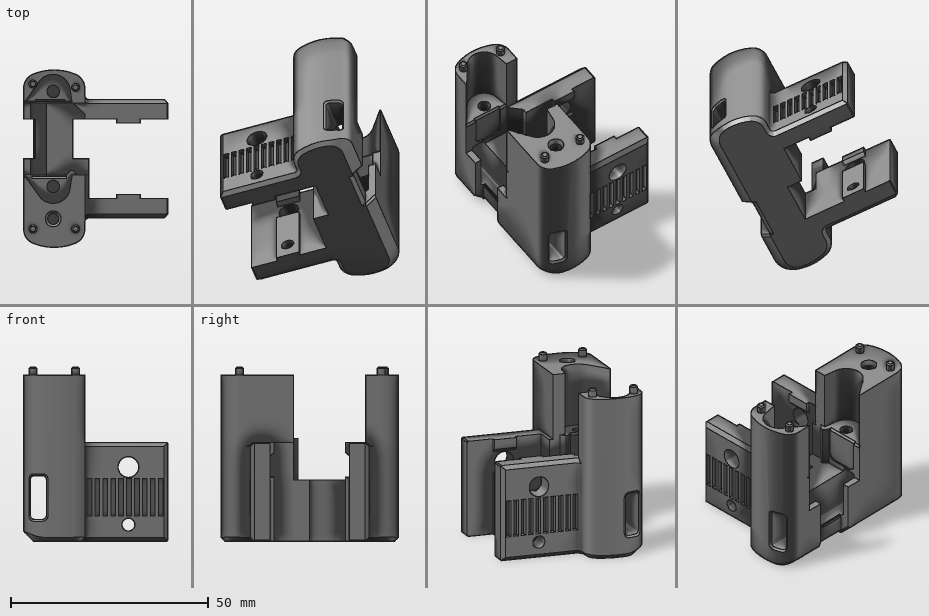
import cadquery as cq
import math


body_width = 15.5
body_half_length = 22.425
end_radius = 14.0
end_corner_radius = 3.9
base_corner_radius = 3.4
tower_height = 42.0
edge_chamfer = 1.0
left_chamfer = 2.55

opening_mid_y = 5.0
opening_half_width = 9.1
opening_front_y = opening_mid_y - opening_half_width
opening_rear_y = opening_mid_y + opening_half_width
deck_height = 15.5
deck_right_x = 12.5

arm_length = 36.5
arm_height = 25.0
arm_outer_y = 15.0
arm_inner_y = 10.0
arm_tip_chamfer = 0.3
arm_root_fillet = 1.0
arm_hole_x = 26.5
pivot_diameter = 5.2
pivot_z = 18.75
screw_diameter = 3.2
screw_z = 4.2
pad_width = 6.0
pad_thickness = 1.0
pad_gap_bottom = 16.2
pad_gap_top = 21.6
pad_lead_in = 0.85

groove_count = 10
groove_pitch = 2.0
groove_width = 1.2
groove_depth = 1.5
groove_first_x = 16.65
groove_bottom = 6.4
groove_top = 15.8

front_block_right_x = 16.5
rear_block_corner_y = 11.25

notch_front_y = 0.0
notch_rear_y = arm_inner_y
notch_depth = 2.55
notch_corner_chamfer = 0.55

tunnel_left_x = 1.75
tunnel_width = 4.0
tunnel_bottom = 5.55
tunnel_height = 11.0
tunnel_radius = 1.0
tunnel_edge_chamfer = 0.5

pocket_floor = 26.0
pocket_round_x = 7.5
pocket_round_offset = 12.0
pocket_round_radius = 4.3
pocket_left_x = 0.15
pocket_right_x = 12.3
pocket_hole_diameter = 3.15
pocket_hole_depth = 8.0
sill_chamfer = 0.5

recess_depth = 0.4
recess_bottom = 17.0
recess_radius = 2.0
front_recess_span = (2.1, 10.8)
rear_recess_span = (3.0, 10.45)

rib_left_x = 10.8
rib_right_x = 13.6
rib_height_y = 1.15

top_hole_diameter = 2.8
top_hole_bevel_width = 0.6
top_hole_bevel_depth = 1.2
top_hole_y = -15.2
top_hole_depth = 10.0
pin_diameter = 2.0
pin_height = 2.0
pin_chamfer = 0.35
pin_centers = [(2.4, -17.75), (13.15, -17.75), (2.4, 18.85), (13.15, 18.0)]

overcut = 1.0


def box(x0, x1, y0, y1, z0, z1):
    """Axis-aligned box between two corners."""
    return cq.Workplane("XY").box(x1 - x0, y1 - y0, z1 - z0, centered=False).translate((x0, y0, z0))


def tangent_point(x, y, cx, cy, radius, turn):
    """Point where the line from (x, y) touches a circle; turn picks the side (+1 or -1)."""
    distance = math.hypot(x - cx, y - cy)
    angle = math.atan2(y - cy, x - cx) + turn * math.acos(radius / distance)
    return cx + radius * math.cos(angle), cy + radius * math.sin(angle)


def crowned_outline(left_x, right_x, half_length, radius):
    """Straight-sided outline with an arc at each end, centred on the body's width."""
    mid_x = body_width / 2
    arc_y = half_length - radius

    def end_y(x):
        return arc_y + math.sqrt(radius ** 2 - (x - mid_x) ** 2)

    return (
        cq.Workplane("XY")
        .moveTo(left_x, -end_y(left_x))
        .threePointArc((mid_x, -half_length), (right_x, -end_y(right_x)))
        .lineTo(right_x, end_y(right_x))
        .threePointArc((mid_x, half_length), (left_x, end_y(left_x)))
        .close()
    )


def make_flared_envelope():
    """Oversized rounded block whose 45 degree bottom chamfer trims the bottom edges of the body."""
    flare = left_chamfer + overcut
    growth = flare - edge_chamfer
    outline = crowned_outline(left_chamfer - flare, body_width + growth,
                              body_half_length + growth, end_radius + growth)
    block = outline.extrude(tower_height).edges("|Z").fillet(base_corner_radius + flare)
    return block.faces("<Z").edges().chamfer(flare)


def make_body():
    outline = crowned_outline(0, body_width, body_half_length, end_radius)
    body = outline.extrude(tower_height).edges("|Z").fillet(end_corner_radius)
    body = body.intersect(make_flared_envelope())
    opening = box(-overcut, body_width + overcut, opening_front_y, opening_rear_y,
                  deck_height, tower_height + overcut)
    return body.cut(opening)


def cut_left_notch(body):
    notch = box(-overcut, notch_depth, notch_front_y, notch_rear_y, -overcut, tower_height)
    bottom_wedge = (
        cq.Workplane("XZ", origin=(0, notch_front_y, 0))
        .polyline([(notch_depth, 0), (notch_depth + edge_chamfer, 0), (notch_depth, edge_chamfer)])
        .close()
        .extrude(notch_front_y - notch_rear_y)
    )
    body = body.cut(notch)
    margin = 0.1
    for y in (notch_front_y, notch_rear_y):
        corner = cq.selectors.BoxSelector(
            (-margin, y - margin, -margin), (left_chamfer, y + margin, left_chamfer), boundingbox=False)
        sloped_edge = body.edges(corner).edges(cq.selectors.ParallelDirSelector(cq.Vector(1, 0, -1)))
        body = sloped_edge.chamfer(notch_corner_chamfer)
    return body.cut(bottom_wedge)


def cut_deck_right_side(body):
    """Shorten the deck on the right between the joining block and the rear arm."""
    return body.cut(box(deck_right_x, body_width + overcut, notch_front_y, arm_inner_y, -overcut, deck_height))


def make_arm_plate():
    """Front arm plate, with a fillet at its root and chamfered outer edges."""
    fillet_x = body_width + arm_root_fillet
    fillet_y = -arm_outer_y - arm_root_fillet
    diagonal = arm_root_fillet * math.sqrt(0.5)
    plate = (
        cq.Workplane("XY")
        .moveTo(deck_right_x, -arm_inner_y)
        .lineTo(deck_right_x, fillet_y)
        .lineTo(body_width, fillet_y)
        .threePointArc((fillet_x - diagonal, fillet_y + diagonal), (fillet_x, -arm_outer_y))
        .lineTo(arm_length, -arm_outer_y)
        .lineTo(arm_length, -arm_inner_y)
        .close()
        .extrude(arm_height)
    )
    outer_edges = cq.selectors.BoxSelector(
        (body_width, fillet_y, -overcut),
        (arm_length + overcut, -arm_outer_y + overcut, arm_height + overcut))
    horizontal = plate.edges(outer_edges).edges("not(|Z)")
    tip = plate.edges(outer_edges).edges("|Z").edges(">X")
    plate = horizontal.add(tip).chamfer(edge_chamfer)
    plate = plate.faces(">X").edges("|Y").chamfer(arm_tip_chamfer)
    return plate.cut(box(0, body_width, -opening_rear_y, 0, deck_height, arm_height + overcut))


def make_arm_pads():
    """Raised pads on the inner arm face, above and below the pivot hole."""
    inner_y = -arm_inner_y
    face_y = inner_y + pad_thickness
    pad_right_x = arm_hole_x + pad_width / 2
    lower = [(inner_y, 0), (face_y, 0), (face_y, pad_gap_bottom), (inner_y, pad_gap_bottom)]
    upper = [(inner_y, pad_gap_top), (face_y, pad_gap_top + pad_lead_in), (face_y, arm_height),
             (inner_y, arm_height)]
    pads = cq.Workplane("YZ", origin=(pad_right_x - pad_width, 0, 0))
    return pads.polyline(lower).close().extrude(pad_width).union(
        pads.polyline(upper).close().extrude(pad_width))


def cut_arm_holes(arm):
    for z, diameter in ((pivot_z, pivot_diameter), (screw_z, screw_diameter)):
        hole = (
            cq.Workplane("XZ", origin=(arm_hole_x, 0, z))
            .circle(diameter / 2)
            .extrude(arm_outer_y + overcut)
        )
        arm = arm.cut(hole)
    return arm


def groove_cutters():
    """Grip grooves of the front arm."""
    cutters = cq.Workplane("XY")
    for i in range(groove_count):
        x = groove_first_x + i * groove_pitch
        cutters = cutters.add(box(x - groove_width / 2, x + groove_width / 2,
                                  -arm_outer_y - arm_root_fillet, -arm_outer_y + groove_depth,
                                  groove_bottom, groove_top))
    return cutters.combine()


def add_arms(body):
    arm = cut_arm_holes(make_arm_plate().union(make_arm_pads()))
    grooves = groove_cutters()
    for side in (arm, arm.mirror("XZ")):
        body = body.union(side)
    for side in (grooves, grooves.mirror("XZ")):
        body = body.cut(side)
    return body


def add_joining_blocks(body):
    """Fill between each arm and the body: a stepped block in front, a slanted one behind."""
    front_low = box(deck_right_x, front_block_right_x, -arm_inner_y, notch_front_y, 0, deck_height)
    front_high = box(body_width, front_block_right_x, -arm_inner_y, opening_front_y, 0, arm_height)
    rear = (
        cq.Workplane("XY")
        .polyline([(deck_right_x, opening_rear_y), (body_width, rear_block_corner_y),
                   (body_width, opening_rear_y)])
        .close()
        .extrude(arm_height)
    )
    return body.union(front_low).union(front_high).union(rear)


def cut_tunnel(body):
    """Rounded tunnel along the body, with chamfered mouths and a chamfered edge at the notch."""
    right_x = tunnel_left_x + tunnel_width
    top = tunnel_bottom + tunnel_height
    end_y = body_half_length + overcut
    tunnel = box(tunnel_left_x, right_x, -end_y, end_y, tunnel_bottom, top)
    body = body.cut(tunnel.edges("|Y").fillet(tunnel_radius))
    margin = 0.05
    mouth_reach = 2 * end_corner_radius
    for near_y, far_y in ((-end_y, -end_y + mouth_reach), (end_y - mouth_reach, end_y)):
        mouth = cq.selectors.BoxSelector(
            (tunnel_left_x - margin, near_y, tunnel_bottom - margin),
            (right_x + margin, far_y, top + margin), boundingbox=True)
        body = body.edges(mouth).edges("not(|Y)").chamfer(tunnel_edge_chamfer)
    edge_wedge = (
        cq.Workplane("XZ", origin=(0, notch_front_y, 0))
        .polyline([(notch_depth, tunnel_bottom), (notch_depth + tunnel_edge_chamfer, tunnel_bottom),
                   (notch_depth, tunnel_bottom - tunnel_edge_chamfer)])
        .close()
        .extrude(notch_front_y - notch_rear_y)
    )
    return body.cut(edge_wedge)


def wall_y(depth, rear):
    """Y at a given depth behind the front or rear wall of the opening."""
    side = 1 if rear else -1
    return opening_mid_y + side * (opening_half_width + depth)


def pocket_cutter(rear):
    """Round-backed pocket whose flanks run tangentially out to the wall, plus the hole in its floor."""
    side = 1 if rear else -1
    y = wall_y(0, rear)
    round_y = opening_mid_y + side * pocket_round_offset
    circle = (pocket_round_x, round_y, pocket_round_radius)
    left = tangent_point(pocket_left_x, y, *circle, -side)
    right = tangent_point(pocket_right_x, y, *circle, side)
    pocket = (
        cq.Workplane("XY", origin=(0, 0, pocket_floor))
        .moveTo(pocket_left_x, y)
        .lineTo(*left)
        .threePointArc((pocket_round_x, round_y + side * pocket_round_radius), right)
        .lineTo(pocket_right_x, y)
        .close()
        .extrude(tower_height)
    )
    hole = (
        cq.Workplane("XY", origin=(pocket_round_x, round_y, pocket_floor))
        .circle(pocket_hole_diameter / 2)
        .extrude(-pocket_hole_depth)
    )
    return pocket.union(hole)


def sill_wedge(x0, x1, depth, rear):
    """45 degree cutter along the pocket floor's open edge, for a wall set back by the given depth."""
    side = 1 if rear else -1
    y = wall_y(depth, rear)
    return (
        cq.Workplane("YZ", origin=(x0, 0, 0))
        .polyline([(y, pocket_floor), (y + side * sill_chamfer, pocket_floor),
                   (y, pocket_floor - sill_chamfer)])
        .close()
        .extrude(x1 - x0)
    )


def recess_cutter(span, rear):
    x0, x1 = span
    y0, y1 = sorted((wall_y(0, rear), wall_y(recess_depth, rear)))
    recess = box(x0, x1, y0, y1, recess_bottom, pocket_floor)
    recess = recess.edges("|Y and <Z").fillet(recess_radius)
    return recess.union(sill_wedge(x0, x1, recess_depth, rear))


def cut_pockets(body):
    for rear, span in ((False, front_recess_span), (True, rear_recess_span)):
        sill_right_x = pocket_right_x if rear else rib_left_x
        body = body.cut(pocket_cutter(rear))
        body = body.cut(sill_wedge(pocket_left_x, sill_right_x, 0, rear))
        body = body.cut(recess_cutter(span, rear))
    return body


def add_rib(body):
    y = opening_front_y
    rib = (
        cq.Workplane("XY", origin=(0, 0, deck_height))
        .polyline([(rib_left_x, y), (rib_left_x + rib_height_y, y + rib_height_y),
                   (rib_right_x - rib_height_y, y + rib_height_y), (rib_right_x, y)])
        .close()
        .extrude(pocket_floor - deck_height)
    )
    return body.union(rib)


def cut_top_hole(body):
    radius = top_hole_diameter / 2
    hole = (
        cq.Workplane("XZ", origin=(pocket_round_x, top_hole_y, tower_height))
        .polyline([(0, 0), (radius + top_hole_bevel_width, 0), (radius, -top_hole_bevel_depth),
                   (radius, -top_hole_depth), (0, -top_hole_depth)])
        .close()
        .revolve(360, (0, 0, 0), (0, 1, 0))
    )
    return body.cut(hole)


def add_pins(body):
    pins = (
        cq.Workplane("XY", origin=(0, 0, tower_height))
        .pushPoints(pin_centers)
        .circle(pin_diameter / 2)
        .extrude(pin_height)
        .faces(">Z").edges().chamfer(pin_chamfer)
    )
    return body.union(pins)


result = make_body()
result = cut_left_notch(result)
result = cut_deck_right_side(result)
result = cut_tunnel(result)
result = add_arms(result)
result = add_joining_blocks(result)
result = cut_pockets(result)
result = add_rib(result)
result = cut_top_hole(result)
result = add_pins(result)